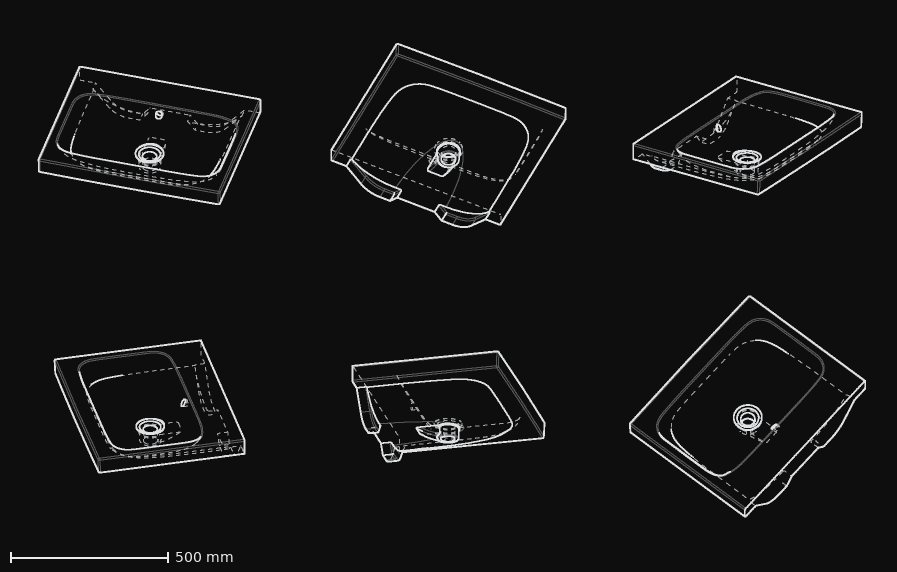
import cadquery as cq
import math


DECK_WIDTH = 599.0
DECK_REACH = 481.5
DECK_HEIGHT = 56.0
FRONT_BOW = 2.5
FRONT_LEAN = 3.0
DECK_CORNER = 5.5
DECK_EDGE = 5.0

RIM_HALF_WIDTH = 269.0
RIM_BACK_REACH = 114.5
RIM_FRONT_REACH = 421.0
RIM_SQUARENESS = 7.0
BASIN_DEPTH = 103.0
BASIN_FLOOR_RADIUS = 24.0
BASIN_FULLNESS = 2.2
BACK_SLOPE = 0.38
CORNER_SOFTENING = 5.0
RIM_ROUND = 4.0

BOWL_TOP_DEPTH = 12.0
BOWL_BOTTOM_DEPTH = 118.0
BOWL_TOP_HALF_WIDTH = 257.5
BOWL_TOP_REACH = 423.5
BOWL_TOP_SQUARENESS = 7.0
BOWL_BOTTOM_HALF_WIDTH = 90.0
BOWL_BOTTOM_REACH = 287.5
BOWL_FULLNESS = 2.0
BOWL_CORNER_SOFTENING = 1.5

ROUND_SQUARENESS = 2.0
LOFT_STEPS = 7
OUTLINE_POINTS = 40

PLATE_THICKNESS = 34.0
PLATE_TOP_HALF_WIDTH = 261.0
PLATE_TOP_DEPTH = 37.0
SHOULDER_HALF_WIDTH = 195.0
FOOT_OUTER = 128.0
FOOT_INNER = 91.0
ARCH_HALF_WIDTH = 60.0
ARCH_DEPTH = 110.0
FOOT_DEPTH = 149.0
FOOT_EDGE = 5.0

DRAIN_REACH = 236.5
DRAIN_TOP_RADIUS = 36.0
DRAIN_BOTTOM_RADIUS = 34.0
DRAIN_BOTTOM = 155.0
DRAIN_BORE_RADIUS = 23.0
DRAIN_EDGE = 2.0
COLLAR_RADIUS = 38.0
COLLAR_HEIGHT = 3.5
SEAT_OUTER_RADIUS = 45.0
SEAT_INNER_RADIUS = 34.0
SEAT_INSET = 0.5
SEAT_DROP = 2.0
FUNNEL_BOTTOM = 114.5

OVERFLOW_RADIUS = 11.0
OVERFLOW_DEPTH = 30.5
OVERFLOW_BACK_REACH = 117.0
OVERFLOW_FRONT_REACH = 144.0
CHANNEL_HALF_WIDTH = 30.0
CHANNEL_TOP_DEPTH = 109.0
CHANNEL_START_REACH = 139.5
CHANNEL_MID_REACH = 168.0
CHANNEL_MID_DEPTH = 135.0
CHANNEL_END_DEPTH = 149.0
CHANNEL_EDGE = 7.0


def superellipse(depth, half_width, half_reach, center_reach, squareness):
    """Closed smooth horizontal wire between an ellipse and a rectangle.

    The wire starts towards a back corner, so the loft seam stays clear of the
    overflow hole and, on the bowl, lies behind the wall.
    """
    points = []
    for i in range(OUTLINE_POINTS):
        angle = 2 * math.pi * i / OUTLINE_POINTS + math.pi / 4
        c = math.cos(angle)
        s = math.sin(angle)
        radius = (abs(c) ** squareness + abs(s) ** squareness) ** (-1 / squareness)
        x = half_width * radius * c
        y = half_reach * radius * s - center_reach
        points.append(cq.Vector(x, y, -depth))
    return cq.Wire.assembleEdges([cq.Edge.makeSpline(points, periodic=True)])


def blend(start, end, share):
    return start + (end - start) * share


def wall_profile(fullness):
    """Pairs of depth share (0 to 1) and spread (1 to 0) down a rounded wall."""
    pairs = []
    for i in range(LOFT_STEPS + 1):
        angle = math.pi / 2 * i / LOFT_STEPS
        depth_share = math.sin(angle)
        spread = max(math.cos(angle), 0) ** (2 / fullness)
        pairs.append((depth_share, spread))
    return pairs


def loft(wires):
    return cq.Workplane(obj=cq.Solid.makeLoft(wires))


def make_deck():
    def outline(plane, front):
        half = DECK_WIDTH / 2
        return (
            plane.moveTo(-half, 0)
            .lineTo(-half, FRONT_BOW - front)
            .threePointArc((0, -front), (half, FRONT_BOW - front))
            .lineTo(half, 0)
            .close()
        )

    lower = outline(cq.Workplane("XY").workplane(offset=-DECK_HEIGHT), DECK_REACH - FRONT_LEAN)
    deck = outline(lower.workplane(offset=DECK_HEIGHT), DECK_REACH).loft(ruled=True)
    front_corners = cq.selectors.BoxSelector(
        (-DECK_WIDTH, -DECK_REACH - DECK_CORNER, -0.7 * DECK_HEIGHT),
        (DECK_WIDTH, -DECK_REACH + 2 * DECK_CORNER, -0.3 * DECK_HEIGHT),
    )
    deck = deck.edges(front_corners).fillet(DECK_CORNER)
    return deck.faces("<Z or >Z").edges("not >Y").fillet(DECK_EDGE)


def make_bowl():
    wires = []
    for depth_share, spread in wall_profile(BOWL_FULLNESS):
        wires.append(superellipse(
            blend(BOWL_TOP_DEPTH, BOWL_BOTTOM_DEPTH, depth_share),
            blend(BOWL_BOTTOM_HALF_WIDTH, BOWL_TOP_HALF_WIDTH, spread),
            blend(BOWL_BOTTOM_REACH, BOWL_TOP_REACH, spread),
            0,
            blend(ROUND_SQUARENESS, BOWL_TOP_SQUARENESS, spread ** BOWL_CORNER_SOFTENING),
        ))
    return loft(wires)


def make_wall_plate():
    top = -PLATE_TOP_DEPTH
    shoulder = -BOWL_BOTTOM_DEPTH
    foot = -FOOT_DEPTH
    plate = (
        cq.Workplane("XZ")
        .moveTo(0, top)
        .lineTo(-PLATE_TOP_HALF_WIDTH, top)
        .lineTo(-SHOULDER_HALF_WIDTH, shoulder)
        .tangentArcPoint((-FOOT_OUTER, foot), relative=False)
        .lineTo(-FOOT_INNER, foot)
        .lineTo(-ARCH_HALF_WIDTH, -ARCH_DEPTH)
        .lineTo(0, -ARCH_DEPTH)
        .mirrorY()
        .extrude(PLATE_THICKNESS)
    )
    return plate.faces("<Y").edges("not >Z").fillet(FOOT_EDGE)


def make_drain_body():
    return (
        cq.Workplane("XZ")
        .moveTo(0, -BASIN_DEPTH)
        .lineTo(COLLAR_RADIUS, -BASIN_DEPTH)
        .lineTo(COLLAR_RADIUS, -BOWL_BOTTOM_DEPTH - COLLAR_HEIGHT)
        .lineTo(DRAIN_TOP_RADIUS, -BOWL_BOTTOM_DEPTH - COLLAR_HEIGHT)
        .lineTo(DRAIN_BOTTOM_RADIUS, -DRAIN_BOTTOM)
        .lineTo(0, -DRAIN_BOTTOM)
        .close()
        .revolve(360, (0, 0, 0), (0, 1, 0))
        .faces("<Z").edges().fillet(DRAIN_EDGE)
        .translate((0, -DRAIN_REACH, 0))
    )


def make_overflow_channel():
    """Curved rib carrying the overflow down into the drain body."""
    end_reach = DRAIN_REACH - DRAIN_BOTTOM_RADIUS
    return (
        cq.Workplane("YZ")
        .moveTo(-CHANNEL_START_REACH, -BOWL_BOTTOM_DEPTH)
        .threePointArc((-CHANNEL_MID_REACH, -CHANNEL_MID_DEPTH), (-end_reach, -CHANNEL_END_DEPTH))
        .lineTo(-DRAIN_REACH, -CHANNEL_END_DEPTH)
        .lineTo(-DRAIN_REACH, -CHANNEL_TOP_DEPTH)
        .lineTo(-CHANNEL_START_REACH, -CHANNEL_TOP_DEPTH)
        .close()
        .extrude(CHANNEL_HALF_WIDTH, both=True)
        .edges(cq.selectors.BoxSelector(
            (-DECK_WIDTH, -DRAIN_REACH + CHANNEL_EDGE, -DRAIN_BOTTOM),
            (DECK_WIDTH, 0, -BOWL_BOTTOM_DEPTH - CHANNEL_EDGE / 2),
        ))
        .fillet(CHANNEL_EDGE)
    )


def make_basin_cavity():
    floor_back_reach = DRAIN_REACH - BASIN_FLOOR_RADIUS
    floor_front_reach = DRAIN_REACH + BASIN_FLOOR_RADIUS
    total_back_slope = BACK_SLOPE * BASIN_DEPTH
    wires = []
    for depth_share, spread in wall_profile(BASIN_FULLNESS):
        curved_back = blend(floor_back_reach - total_back_slope, RIM_BACK_REACH, spread)
        back = curved_back + total_back_slope * depth_share
        front = blend(floor_front_reach, RIM_FRONT_REACH, spread)
        wires.append(superellipse(
            BASIN_DEPTH * depth_share,
            blend(BASIN_FLOOR_RADIUS, RIM_HALF_WIDTH, spread),
            (front - back) / 2,
            (front + back) / 2,
            blend(ROUND_SQUARENESS, RIM_SQUARENESS, spread ** CORNER_SOFTENING),
        ))
    return loft(wires)


def make_drain_bore():
    seat_rim = -BASIN_DEPTH - SEAT_INSET
    return (
        cq.Workplane("XZ")
        .lineTo(SEAT_OUTER_RADIUS, 0)
        .lineTo(SEAT_OUTER_RADIUS, seat_rim)
        .lineTo(SEAT_INNER_RADIUS, seat_rim - SEAT_DROP)
        .lineTo(DRAIN_BORE_RADIUS, -FUNNEL_BOTTOM)
        .lineTo(DRAIN_BORE_RADIUS, -DRAIN_BOTTOM)
        .lineTo(0, -DRAIN_BOTTOM)
        .close()
        .revolve(360, (0, 0, 0), (0, 1, 0))
        .translate((0, -DRAIN_REACH, 0))
    )


def make_overflow_hole():
    return (
        cq.Workplane("XZ", origin=(0, -OVERFLOW_BACK_REACH, -OVERFLOW_DEPTH))
        .circle(OVERFLOW_RADIUS)
        .extrude(OVERFLOW_FRONT_REACH - OVERFLOW_BACK_REACH)
    )


def make_space_behind_wall():
    size = 2 * DECK_WIDTH
    return cq.Workplane("XY").box(size, size, size, centered=(True, False, True))


underside = (
    make_bowl()
    .union(make_wall_plate())
    .union(make_overflow_channel())
    .union(make_drain_body())
    .cut(make_space_behind_wall())
)
basin = make_deck().union(underside).cut(make_basin_cavity())
rim = cq.selectors.BoxSelector(
    (-RIM_ROUND, -RIM_FRONT_REACH, -RIM_ROUND),
    (RIM_ROUND, -RIM_BACK_REACH, RIM_ROUND),
)
result = basin.edges(rim).fillet(RIM_ROUND).cut(make_drain_bore()).cut(make_overflow_hole())